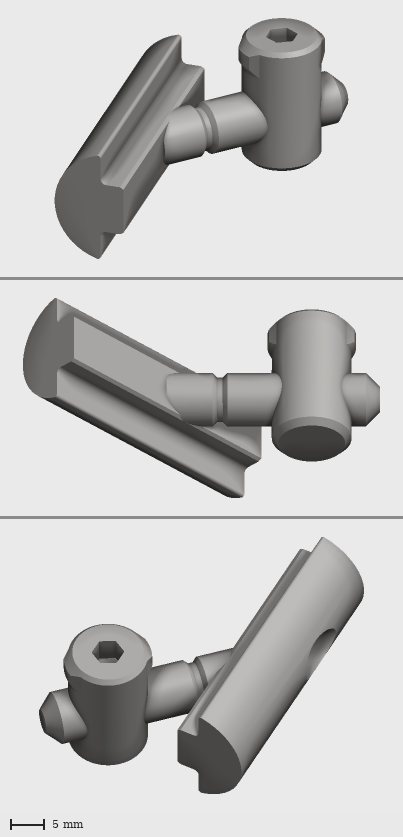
import cadquery as cq
import math


slug_radius = 8.95
slug_depth = 10.65
neck_length = 3.55
slug_front_y = -24.28
slug_length = 38.9
shoulder_fillet = 0.85
tip_fillet = 0.45
neck_chamfer_length = 0.55
neck_chamfer_height = 0.3

stud_radius = 3.95
stud_angle = 45
stud_end = 27.85
stud_end_chamfer = 2.1
groove_start = 3.2
groove_width = 2.17
groove_depth = 0.7
bore_radius = 3.3
bore_floor = -8.8

barrel_distance = 17.8
barrel_radius = 5.9
barrel_bottom = -7.65
barrel_top = 12.4
top_chamfer = 0.65
bottom_chamfer = 0.95

pad_side = 5.65
pad_root = 1.5
pad_base = 7.85
pad_slope_height = 1.2
pad_slope_width = 0.65

screw_radius = 3.3
socket_across_flats = 4.15
socket_depth = 4.0
socket_tip_angle = 118

barrel_offset = barrel_distance * math.cos(math.radians(stud_angle))


def along_stud(shape):
    """Turn a shape built about X onto the stud axis."""
    return shape.rotate((0, 0, 0), (0, 0, 1), stud_angle)


def at_barrel(shape):
    """Move a shape built about Z onto the barrel axis."""
    return shape.translate((barrel_offset, barrel_offset, 0))


def rod_along_stud(radius, start, end):
    rod = cq.Workplane("YZ", origin=(start, 0, 0)).circle(radius).extrude(end - start)
    return along_stud(rod)


def make_slug():
    """T-shaped bar with a round back and a straight neck."""
    crown_x = -slug_depth
    arc_center_x = crown_x + slug_radius
    shoulder_x = -neck_length
    tip_z = math.sqrt(slug_radius**2 - (shoulder_x - arc_center_x) ** 2)
    slug = (
        cq.Workplane("XZ", origin=(0, slug_front_y, 0))
        .moveTo(0, neck_chamfer_height - stud_radius)
        .lineTo(0, stud_radius - neck_chamfer_height)
        .lineTo(-neck_chamfer_length, stud_radius)
        .lineTo(shoulder_x, stud_radius)
        .lineTo(shoulder_x, tip_z)
        .threePointArc((crown_x, 0), (shoulder_x, -tip_z))
        .lineTo(shoulder_x, -stud_radius)
        .lineTo(-neck_chamfer_length, -stud_radius)
        .close()
        .extrude(-slug_length)
    )

    def edges_near(x, z):
        """The pair of lengthwise edges at the given x and at +z and -z."""
        selector = cq.selectors.BoxSelector
        reach = 0.05
        return slug.edges("|Y").edges(
            selector((x - reach, slug_front_y, z - reach),
                     (x + reach, slug_front_y + slug_length, z + reach))
            + selector((x - reach, slug_front_y, -z - reach),
                       (x + reach, slug_front_y + slug_length, -z + reach))
        )

    slug = edges_near(shoulder_x, tip_z).fillet(tip_fillet)
    return edges_near(shoulder_x, stud_radius).fillet(shoulder_fillet)


def make_stud():
    """Round stud with a chamfered end and a V-sided locating groove."""
    groove_end = groove_start + groove_width
    groove_radius = stud_radius - groove_depth
    stud = (
        cq.Workplane("XY")
        .polyline([
            (-neck_length, 0),
            (-neck_length, stud_radius),
            (groove_start, stud_radius),
            (groove_start + groove_depth, groove_radius),
            (groove_end - groove_depth, groove_radius),
            (groove_end, stud_radius),
            (stud_end - stud_end_chamfer, stud_radius),
            (stud_end, stud_radius - stud_end_chamfer),
            (stud_end, 0),
        ])
        .close()
        .revolve(360, (0, 0, 0), (1, 0, 0))
    )
    return along_stud(stud)


def make_anchor():
    """Slug and stud in one piece, with a blind bore from the round back."""
    bore = rod_along_stud(bore_radius, -2 * slug_depth, bore_floor)
    return make_slug().union(make_stud()).cut(bore)


def make_pad(turn):
    """Pad under the widened top chamfer, with a sloped underside."""
    outer_radius = barrel_radius + pad_slope_width
    top_radius = barrel_radius - top_chamfer
    rim = (
        cq.Workplane("XZ")
        .polyline([
            (0, pad_base),
            (barrel_radius, pad_base),
            (outer_radius, pad_base + pad_slope_height),
            (outer_radius, barrel_top - (outer_radius - top_radius)),
            (top_radius, barrel_top),
            (0, barrel_top),
        ])
        .close()
        .revolve(360, (0, 0, 0), (0, 1, 0))
    )
    outline = (
        cq.Workplane("XY", origin=(0, 0, pad_base))
        .polyline([
            (0, 0),
            (pad_side, pad_root),
            (pad_side, pad_side),
            (pad_root, pad_side),
        ])
        .close()
        .extrude(barrel_top - pad_base)
    )
    return rim.intersect(outline).rotate((0, 0, 0), (0, 0, 1), turn)


def make_barrel():
    """Cross barrel with two pads, a stud hole and a set screw hole."""
    barrel = (
        cq.Workplane("XY", origin=(0, 0, barrel_bottom))
        .circle(barrel_radius)
        .extrude(barrel_top - barrel_bottom)
        .faces(">Z").chamfer(top_chamfer)
        .faces("<Z").chamfer(bottom_chamfer)
    )
    for turn in (0, 180):
        barrel = barrel.union(make_pad(turn))
    screw_hole = cq.Workplane("XY").circle(screw_radius).extrude(barrel_top)
    stud_hole = rod_along_stud(stud_radius, 0, stud_end)
    return at_barrel(barrel.cut(screw_hole)).cut(stud_hole)


def make_set_screw():
    """Set screw flush with the barrel top and bearing on the stud."""
    screw_length = barrel_top - stud_radius
    screw = cq.Workplane("XY", origin=(0, 0, stud_radius)).circle(screw_radius).extrude(screw_length)
    across_corners = socket_across_flats / math.cos(math.radians(30))
    socket = (
        cq.Workplane("XY", origin=(0, 0, barrel_top))
        .polygon(6, across_corners)
        .extrude(-socket_depth)
        .rotate((0, 0, 0), (0, 0, 1), 30)
    )
    cone_radius = socket_across_flats / 2
    cone_height = cone_radius / math.tan(math.radians(socket_tip_angle / 2))
    cone_base = cq.Vector(0, 0, barrel_top - socket_depth)
    cone = cq.Solid.makeCone(cone_radius, 0, cone_height, cone_base, cq.Vector(0, 0, -1))
    return at_barrel(screw.cut(socket).cut(cq.Workplane(cone)))


anchor = make_anchor()
barrel = make_barrel()
set_screw = make_set_screw()

result = cq.Compound.makeCompound([anchor.val(), barrel.val(), set_screw.val()])